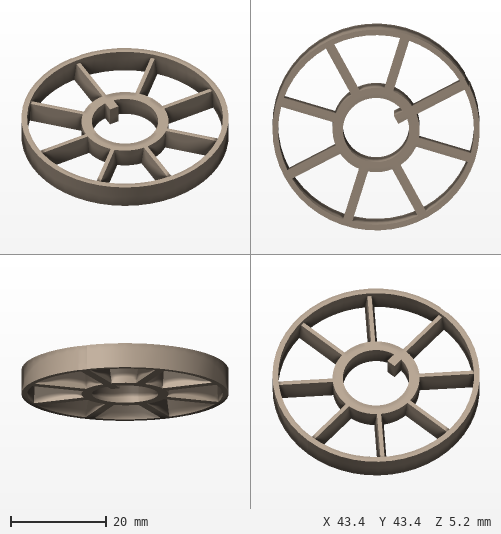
import cadquery as cq
import math

rim_diameter = 43.4
rim_inner_diameter = 41.0
rim_height = 5.2

hub_diameter = 18.23
bore_diameter = 13.9
hub_drop = 1.0
hub_height = rim_height - hub_drop
key_width = 2.0
key_tip_radius = 4.75

spoke_count = 8
spoke_base_width = 2.0
spoke_top_width = 0.85

groove_width = key_width
groove_depth = 0.15


def ring(outer_diameter, inner_diameter, height):
    """Flat ring standing on the base plane."""
    return cq.Workplane("XY").circle(outer_diameter / 2).circle(inner_diameter / 2).extrude(height)


def spoke(angle):
    """Trapezoidal bar joining the middle of the hub wall to the middle of the rim wall."""
    start = (hub_diameter + bore_diameter) / 4
    end = (rim_diameter + rim_inner_diameter) / 4
    profile = [
        (-spoke_base_width / 2, 0),
        (spoke_base_width / 2, 0),
        (spoke_top_width / 2, hub_height),
        (-spoke_top_width / 2, hub_height),
    ]
    bar = cq.Workplane("YZ").workplane(offset=start).polyline(profile).close().extrude(end - start)
    return bar.rotate((0, 0, 0), (0, 0, 1), angle)


def key():
    """Rectangular key on the -X side, reaching from inside the hub wall into the bore."""
    root_radius = (hub_diameter + bore_diameter) / 4
    length = root_radius - key_tip_radius
    middle = -(root_radius + key_tip_radius) / 2
    return cq.Workplane("XY").center(middle, 0).rect(length, key_width).extrude(hub_height)


def rim_groove():
    """Cutter for the groove along the -X side of the rim."""
    edge_radius = math.sqrt((rim_diameter / 2) ** 2 - (groove_width / 2) ** 2)
    floor_radius = edge_radius - groove_depth
    cutter_length = rim_diameter / 2
    middle = -(floor_radius + cutter_length / 2)
    return cq.Workplane("XY").center(middle, 0).rect(cutter_length, groove_width).extrude(rim_height)


result = ring(rim_diameter, rim_inner_diameter, rim_height)
result = result.union(ring(hub_diameter, bore_diameter, hub_height))
for index in range(spoke_count):
    result = result.union(spoke(index * 360 / spoke_count))
result = result.union(key()).cut(rim_groove())